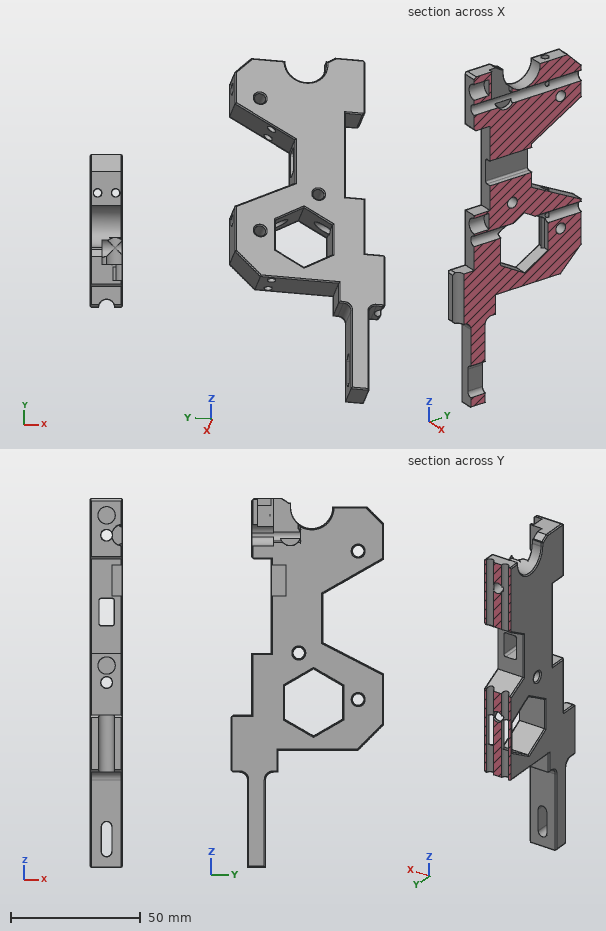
import cadquery as cq
import math

thickness = 12.5
depth = 58.9
height = 142.3
side = thickness / 2
feature_x = 0.1
rim_chamfer = 0.5
front_chamfer = 1.0

tab_front = 6.4
tab_thickness = 7.0
tab_back = tab_front + tab_thickness
tab_fillet = 3.0
tab_slot_width = 4.0
tab_slot_length = 13.5
tab_slot_z = 11.0

boss_bottom = 36.7
boss_top = 58.8
boss_back = 18.2
groove_dia = 6.1

block_front = 8.0
waist_front = 15.5
waist_back = 35.5
waist_bottom = 86.7
block_bottom = 118.8
lower_block_top = 82.5
lower_lobe_bottom = 45.1
lower_lobe_chamfer = 10.0
lower_lobe_top = 74.6
upper_lobe_top = 139.0
upper_lobe_chamfer = 6.5
upper_lobe_bottom = block_bottom
upper_slope_end = 105.5

cradle_radius = 8.1
cradle_y = 31.2
cradle_z = 138.8
cradle_front = cradle_y - cradle_radius
lip_z = 140.5
lip_flat = 0.7
lip_front = 19.5

hex_across_flats = 22.3
hex_y = 31.9
hex_z = 63.6

cross_hole_dia = 4.4
cross_holes = [(49.1, 122.0), (49.1, 64.8), (26.2, 82.7)]
vertical_hole_dia = 3.1
vertical_hole_spacing = 7.0
vertical_hole_y = 44.1
front_hole_dia = 4.4
front_hole_heights = [128.1, 71.3]
magnet_dia = 6.7
magnet_depth = 7.1
magnet_heights = [135.8, 77.9]

window_width = 5.8
window_height = 10.5
window_z = 98.5
window_fillet = 0.9

side_pocket_x = 2.1
side_pocket_radius = side - side_pocket_x
plunger_z = front_hole_heights[0]
slot_front = 10.2
slot_back = waist_front
slot_x = 3.8
slot_mouth_x = 2.5
slot_mouth_floor = 139.5
recess_x = -1.7
recess_front = 16.5
recess_back = 25.9
crossing_x = 3.4
crossing_y = 22.9
crossing_radius = 4.0
waist_pocket_bottom = 104.8
waist_pocket_top = 116.5
waist_pocket_depth = 5.7


def box(x_range, y_range, z_range):
    """Box spanning the given X, Y and Z ranges."""
    low = (x_range[0], y_range[0], z_range[0])
    size = (x_range[1] - x_range[0], y_range[1] - y_range[0], z_range[1] - z_range[0])
    return cq.Workplane("XY").box(*size, centered=False).translate(low)


def x_prism(sketch):
    """Extrude a sketch on the YZ plane over the full thickness, centred on X = 0."""
    return sketch.extrude(side, both=True)


def front_plane(y):
    """Workplane at depth y that extrudes toward +Y, with local x to -X and local y to +Z."""
    return cq.Workplane(cq.Plane(origin=(0, y, 0), xDir=(-1, 0, 0), normal=(0, 1, 0)))


def profile():
    """Side outline of the plate."""
    arc_step = tab_fillet * (1 - math.sqrt(0.5))
    fillet_bottom = boss_bottom - tab_fillet
    cradle_edge_z = upper_lobe_top
    cradle_back = cradle_y + math.sqrt(cradle_radius**2 - (cradle_edge_z - cradle_z) ** 2)
    return (
        cq.Workplane("YZ")
        .moveTo(tab_front, 0)
        .lineTo(tab_front, fillet_bottom)
        .threePointArc(
            (tab_front - arc_step, boss_bottom - arc_step),
            (tab_front - tab_fillet, boss_bottom),
        )
        .lineTo(0, boss_bottom)
        .lineTo(0, boss_top)
        .lineTo(block_front, boss_top)
        .lineTo(block_front, lower_block_top)
        .lineTo(waist_front, lower_block_top)
        .lineTo(waist_front, block_bottom)
        .lineTo(block_front, block_bottom)
        .lineTo(block_front, height)
        .lineTo(lip_front, height)
        .lineTo(cradle_front - lip_flat, lip_z)
        .lineTo(cradle_front, lip_z)
        .lineTo(cradle_front, cradle_z)
        .threePointArc((cradle_y, cradle_z - cradle_radius), (cradle_back, cradle_edge_z))
        .lineTo(depth - upper_lobe_chamfer, upper_lobe_top)
        .lineTo(depth, upper_lobe_top - upper_lobe_chamfer)
        .lineTo(depth, upper_lobe_bottom)
        .lineTo(waist_back, upper_slope_end)
        .lineTo(waist_back, waist_bottom)
        .lineTo(depth, lower_lobe_top)
        .lineTo(depth, lower_lobe_bottom + lower_lobe_chamfer)
        .lineTo(depth - lower_lobe_chamfer, lower_lobe_bottom)
        .lineTo(boss_back, lower_lobe_bottom)
        .lineTo(boss_back, boss_bottom)
        .lineTo(tab_back + tab_fillet, boss_bottom)
        .threePointArc((tab_back + arc_step, boss_bottom - arc_step), (tab_back, fillet_bottom))
        .lineTo(tab_back, 0)
        .close()
    )


def hex_window():
    """Hexagonal prism with a corner pointing up."""
    hex_diameter = hex_across_flats / math.cos(math.pi / 6)
    prism = x_prism(cq.Workplane("YZ").polygon(6, hex_diameter))
    return prism.rotate((0, 0, 0), (1, 0, 0), 30).translate((0, hex_y, hex_z))


def plate():
    """Plate with its cross holes and hexagonal window, all rims chamfered on both sides."""
    body = x_prism(profile()).cut(hex_window())
    body = body.cut(x_prism(cq.Workplane("YZ").pushPoints(cross_holes).circle(cross_hole_dia / 2)))
    return body.faces("<X or >X").edges().chamfer(rim_chamfer)


def front_edge_chamfer(y, z):
    """Diamond bar along X that chamfers the front edge at (y, z)."""
    bar = cq.Workplane("YZ").polygon(4, 2 * front_chamfer)
    return x_prism(bar).translate((0, y, z))


def front_cuts():
    """Holes, slots and windows that enter from the front."""
    small_holes = [(-feature_x, z) for z in front_hole_heights]
    magnets = [(-feature_x, z) for z in magnet_heights]
    cuts = front_plane(0).pushPoints(small_holes).circle(front_hole_dia / 2).extrude(depth)
    magnet_seats = front_plane(block_front).pushPoints(magnets).circle(magnet_dia / 2)
    cuts = cuts.union(magnet_seats.extrude(magnet_depth))
    window = front_plane(0).center(-feature_x, window_z).rect(window_width, window_height).extrude(depth)
    cuts = cuts.union(window.edges("|Y").fillet(window_fillet))
    tab_slot = front_plane(0).center(-feature_x, tab_slot_z).slot2D(tab_slot_length, tab_slot_width, 90)
    return cuts.union(tab_slot.extrude(depth))


def vertical_cuts():
    """Two holes down through the rear lobes and the rod groove in the boss face."""
    points = [(feature_x + sign * vertical_hole_spacing / 2, vertical_hole_y) for sign in (-1, 1)]
    cuts = cq.Workplane("XY").pushPoints(points).circle(vertical_hole_dia / 2).extrude(height)
    groove = cq.Workplane("XY").center(feature_x, 0).circle(groove_dia / 2).extrude(boss_top)
    return cuts.union(groove)


def plunger_pocket():
    """Connected slot, recess and crossing round channels on the +X side of the top block."""
    upper = (plunger_z, height)
    pocket = front_plane(0).center(-side, plunger_z).circle(side_pocket_radius).extrude(recess_front)
    pocket = pocket.union(box((slot_x, side), (slot_front, recess_front), upper))
    mouth = box((slot_mouth_x, side), (slot_front, slot_back), (slot_mouth_floor, height))
    pocket = pocket.union(mouth)
    pocket = pocket.union(box((recess_x, side), (recess_front, recess_back), upper))
    lengthwise = front_plane(recess_front).center(-crossing_x, plunger_z).circle(crossing_radius)
    pocket = pocket.union(lengthwise.extrude(crossing_y + crossing_radius - recess_front))
    well = cq.Workplane("XY", origin=(crossing_x, crossing_y, plunger_z)).circle(crossing_radius)
    pocket = pocket.union(well.extrude(height - plunger_z))
    crosswise = cq.Workplane("YZ", origin=(recess_x, crossing_y, plunger_z)).circle(crossing_radius)
    return pocket.union(crosswise.extrude(side - recess_x))


def waist_pocket():
    """Blind pocket in the waist front, open to +X."""
    return box(
        (side_pocket_x, side),
        (waist_front, waist_front + waist_pocket_depth),
        (waist_pocket_bottom, waist_pocket_top),
    )


result = plate()
for edge_y, edge_z in [
    (block_front, height),
    (block_front, block_bottom),
    (0, boss_top),
    (0, boss_bottom),
]:
    result = result.cut(front_edge_chamfer(edge_y, edge_z))
result = result.cut(front_cuts()).cut(vertical_cuts())
result = result.cut(plunger_pocket()).cut(waist_pocket())